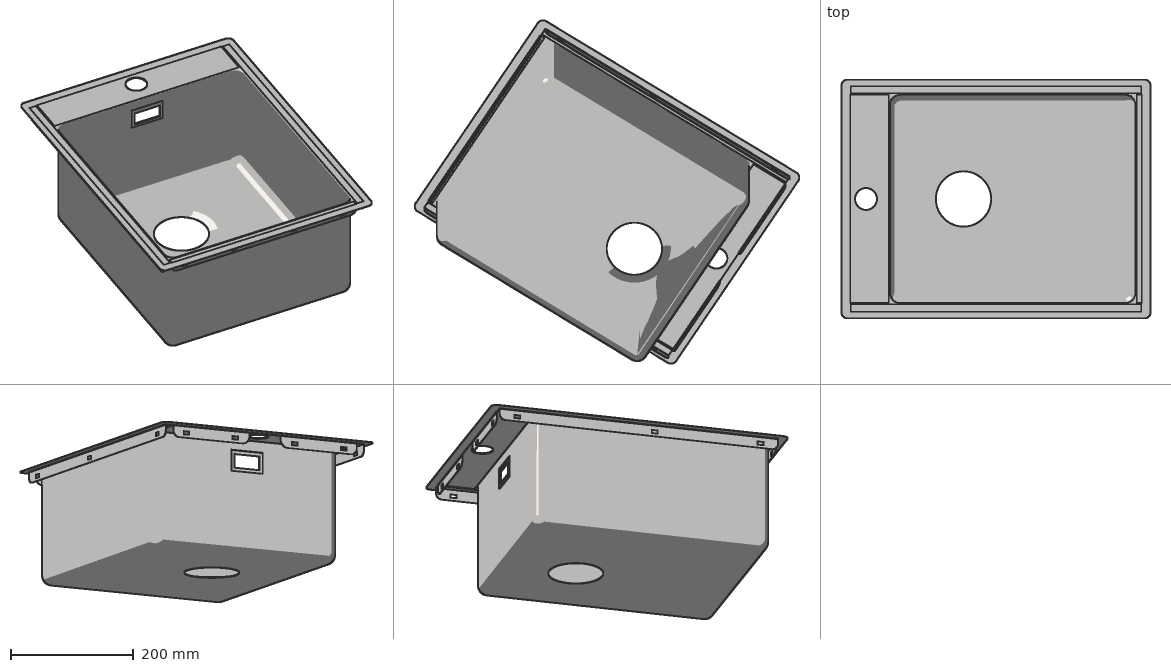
import cadquery as cq

SHEET = 1.0
RIM_LENGTH = 505.0
RIM_WIDTH = 390.0
RIM_CORNER = 10.0
TOTAL_HEIGHT = 201.0

RIM_MARGIN = 25.0
BOWL_LENGTH = 400.0
BOWL_WIDTH = RIM_WIDTH - 2 * RIM_MARGIN
BOWL_X = RIM_LENGTH / 2 - RIM_MARGIN - BOWL_LENGTH / 2
BOWL_DEPTH = 190.5
BOWL_ROUND = 15.5
MOUTH_ROUND = 2.5

DRAIN_X = -53.0
DRAIN_RADIUS = 45.0
DRAIN_RIM_RADIUS = 59.5
DRAIN_DROP = 3.5
DRAIN_BOTTOM = -(TOTAL_HEIGHT - SHEET)
DRAIN_RIM_Z = DRAIN_BOTTOM + DRAIN_DROP

TAP_X = -212.0
TAP_RADIUS = 17.5

OVERFLOW_WIDTH = 46.5
OVERFLOW_HEIGHT = 22.5
OVERFLOW_Z = -37.5
PAD_BORDER = 5.5
PAD_TOP_EXTRA = 1.5
PAD_RAISE = 2.0
PAD_CHAMFER = 1.5

FLANGE_BOTTOM = -20.5
FLANGE_CORNER = 10.0
FLANGE_X = 238.0
FLANGE_Y = 184.0
END_HALF_LENGTH = 169.5
SIDE_HALF_LENGTH = FLANGE_X - SHEET
LEFT_GAP = 57.5
GAP_CORNER = 13.0

SLOT_LENGTH = 10.0
SLOT_HEIGHT = 5.5
SLOT_Z = -12.5
SIDE_SLOTS = [-207.0, BOWL_X, 207.0]
END_SLOTS = [-145.5, -55.0, 55.0, 145.5]

MOUTH_HALF_LENGTH = BOWL_LENGTH / 2 + MOUTH_ROUND
MOUTH_HALF_WIDTH = BOWL_WIDTH / 2 + MOUTH_ROUND


def rim_slab(bottom, thickness):
    """Rounded rectangular plate the size of the rim."""
    slab = cq.Workplane("XY", origin=(0, 0, bottom)).rect(RIM_LENGTH, RIM_WIDTH).extrude(thickness)
    return slab.edges("|Z").fillet(RIM_CORNER)


def bowl_form(top, grow, mouth_round, slab):
    """Solid bowl shape hanging from a slab; `grow` offsets the walls outward and the floor down."""
    drop = cq.Vector(0, 0, -grow)
    floor_z = -BOWL_DEPTH - grow
    block = (
        cq.Workplane("XY", origin=(BOWL_X, 0, floor_z))
        .rect(BOWL_LENGTH + 2 * grow, BOWL_WIDTH + 2 * grow)
        .extrude(top - floor_z)
        .edges("|Z or <Z")
        .fillet(BOWL_ROUND + grow)
    )
    form = slab.union(block)
    mouth = cq.selectors.BoxSelector(
        (BOWL_X - MOUTH_HALF_LENGTH, -MOUTH_HALF_WIDTH, top - SHEET / 2),
        (BOWL_X + MOUTH_HALF_LENGTH, MOUTH_HALF_WIDTH, top + SHEET / 2),
    )
    form = form.edges(mouth).fillet(mouth_round)

    floor_outline = (
        cq.Workplane("XY", origin=(BOWL_X, 0, -BOWL_DEPTH))
        .rect(BOWL_LENGTH - 2 * BOWL_ROUND, BOWL_WIDTH - 2 * BOWL_ROUND)
        .wires()
        .val()
    )
    drain_axis = cq.Vector(0, 0, 1)
    drain_rim = cq.Wire.makeCircle(DRAIN_RIM_RADIUS, cq.Vector(DRAIN_X, 0, DRAIN_RIM_Z), drain_axis)
    floor = cq.Solid.makeLoft([floor_outline, drain_rim], True).translate(drop)
    drain = cq.Solid.makeCone(
        DRAIN_RADIUS,
        DRAIN_RIM_RADIUS,
        DRAIN_DROP,
        cq.Vector(DRAIN_X, 0, DRAIN_BOTTOM),
        drain_axis,
    ).translate(drop)
    return form.union(cq.Workplane(floor)).union(cq.Workplane(drain))


def upright_hole(x, radius):
    """Vertical cylinder through the whole height, for cutting a round hole at y = 0."""
    return cq.Workplane("XY", origin=(x, 0, -2 * TOTAL_HEIGHT)).circle(radius).extrude(3 * TOTAL_HEIGHT)


def overflow_block(width, height, centre_z):
    """Block from the inner face of the -X wall to the outer face of the overflow pad."""
    wall_inner_x = BOWL_X - BOWL_LENGTH / 2
    block = cq.Workplane("YZ", origin=(wall_inner_x, 0, centre_z)).rect(width, height)
    return block.extrude(-(SHEET + PAD_RAISE))


def make_sink():
    """Rim, bowl, drain, tap hole and overflow, all in one sheet."""
    outside = bowl_form(-SHEET, SHEET, MOUTH_ROUND - SHEET, rim_slab(-SHEET, SHEET))
    inside = bowl_form(0, 0, MOUTH_ROUND, rim_slab(0, SHEET))
    pad_width = OVERFLOW_WIDTH + 2 * PAD_BORDER
    pad_height = OVERFLOW_HEIGHT + 2 * PAD_BORDER + PAD_TOP_EXTRA
    pad = overflow_block(pad_width, pad_height, OVERFLOW_Z + PAD_TOP_EXTRA / 2)
    pad = pad.faces("<X").edges(">Z").chamfer(PAD_CHAMFER)
    opening = overflow_block(OVERFLOW_WIDTH, OVERFLOW_HEIGHT, OVERFLOW_Z)
    sink = outside.cut(inside).union(pad).cut(opening)
    sink = sink.cut(upright_hole(DRAIN_X, DRAIN_RADIUS))
    return sink.cut(upright_hole(TAP_X, TAP_RADIUS))


def make_bracket(half_length, leg_width, slots):
    """Angle bracket along X: flange on its -Y side with outer face at y = 0, leg toward +Y."""
    height = -SHEET - FLANGE_BOTTOM
    flange = (
        cq.Workplane("XY")
        .box(2 * half_length, SHEET, height, centered=(True, False, False))
        .translate((0, 0, FLANGE_BOTTOM))
        .edges("|Y and <Z")
        .fillet(FLANGE_CORNER)
    )
    leg = (
        cq.Workplane("XY", origin=(0, 0, -2 * SHEET))
        .rect(2 * half_length, leg_width)
        .extrude(SHEET)
        .translate((0, leg_width / 2, 0))
    )
    bracket = flange.union(leg)
    for along in slots:
        slot = cq.Workplane("XY").box(SLOT_LENGTH, 2 * SHEET, SLOT_HEIGHT)
        bracket = bracket.cut(slot.translate((along, SHEET / 2, SLOT_Z)))
    return bracket


def make_left_bracket():
    """Bracket under the wide part of the rim, its flange open around the overflow."""
    leg_width = FLANGE_X + BOWL_X - MOUTH_HALF_LENGTH
    bracket = make_bracket(END_HALF_LENGTH, leg_width, END_SLOTS)
    flange_height = -2 * SHEET - FLANGE_BOTTOM
    opening = cq.Workplane("XY").box(LEFT_GAP, 2 * SHEET, flange_height)
    bracket = bracket.cut(opening.translate((0, SHEET / 2, FLANGE_BOTTOM + flange_height / 2)))
    gap_corners = cq.selectors.BoxSelector(
        (-LEFT_GAP / 2 - SHEET, -SHEET, FLANGE_BOTTOM - SHEET),
        (LEFT_GAP / 2 + SHEET, 2 * SHEET, FLANGE_BOTTOM + SHEET),
    )
    bracket = bracket.edges(gap_corners).edges("|Y").fillet(GAP_CORNER)
    bracket = bracket.rotate((0, 0, 0), (0, 0, 1), -90).translate((-FLANGE_X, 0, 0))
    return bracket.cut(upright_hole(TAP_X, TAP_RADIUS))


def make_right_bracket():
    """Bracket under the +X edge of the rim."""
    leg_width = FLANGE_X - BOWL_X - MOUTH_HALF_LENGTH
    bracket = make_bracket(END_HALF_LENGTH, leg_width, END_SLOTS)
    return bracket.rotate((0, 0, 0), (0, 0, 1), 90).translate((FLANGE_X, 0, 0))


def make_side_brackets():
    """Mirrored pair of brackets under the -Y and +Y edges of the rim."""
    leg_width = FLANGE_Y - MOUTH_HALF_WIDTH
    front = make_bracket(SIDE_HALF_LENGTH, leg_width, SIDE_SLOTS).translate((0, -FLANGE_Y, 0))
    return [front, front.mirror("XZ")]


sink = make_sink()
left_bracket = make_left_bracket()
right_bracket = make_right_bracket()
side_brackets = make_side_brackets()

result = cq.Compound.makeCompound(
    [
        sink.val(),
        left_bracket.val(),
        right_bracket.val(),
        *[bracket.val() for bracket in side_brackets],
    ]
)